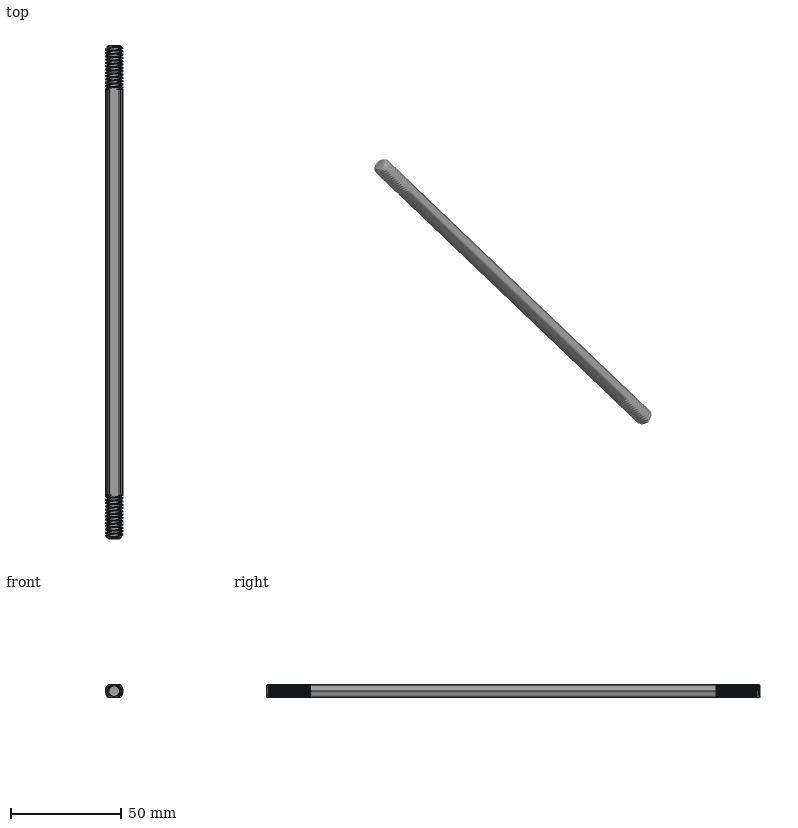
import cadquery as cq
LENGTH = 224.0
MAJOR_DIAMETER = 7.9
FLAT_HEIGHT = 6.04
SHANK_SIDES = 8

THREAD_LENGTH = 20.0
MINOR_DIAMETER = 5.94
PITCH = 1.5
CREST_WIDTH = PITCH / 4
ROOT_WIDTH = PITCH / 4
CHAMFER_LENGTH = 1.5
GROOVE_OVERRUN = 0.1

MAJOR_RADIUS = MAJOR_DIAMETER / 2
MINOR_RADIUS = MINOR_DIAMETER / 2
TIP_RADIUS = MAJOR_RADIUS - CHAMFER_LENGTH
SHANK_LENGTH = LENGTH - 2 * THREAD_LENGTH


def make_shank():
    """Octagonal bar along Y with corners on the X axis, flattened top and bottom."""
    octagon = cq.Workplane("XZ").polygon(SHANK_SIDES, MAJOR_DIAMETER)
    slab = cq.Workplane("XY").box(2 * MAJOR_DIAMETER, LENGTH, FLAT_HEIGHT)
    return octagon.extrude(SHANK_LENGTH / 2, both=True).intersect(slab)


def make_groove():
    """Right-handed helical groove cutter around Z, one pitch longer than the thread at each end."""
    thread_depth = MAJOR_RADIUS - MINOR_RADIUS
    flank_slope = (PITCH - CREST_WIDTH - ROOT_WIDTH) / 2 / thread_depth
    root_half = ROOT_WIDTH / 2
    mouth_half = root_half + flank_slope * (thread_depth + GROOVE_OVERRUN)
    mouth_radius = MAJOR_RADIUS + GROOVE_OVERRUN
    section = [
        (MINOR_RADIUS, -root_half),
        (mouth_radius, -mouth_half),
        (mouth_radius, mouth_half),
        (MINOR_RADIUS, root_half),
    ]
    helix = cq.Workplane(cq.Wire.makeHelix(PITCH, THREAD_LENGTH + 2 * PITCH, MINOR_RADIUS))
    groove = cq.Workplane("XZ").polyline(section).close().sweep(helix, isFrenet=True)
    return groove.translate((0, 0, -PITCH))


def make_blank():
    """Round bar along Z with the lead-in chamfer at its tip."""
    half_outline = [
        (0, 0),
        (MAJOR_RADIUS, 0),
        (MAJOR_RADIUS, THREAD_LENGTH - CHAMFER_LENGTH),
        (TIP_RADIUS, THREAD_LENGTH),
        (0, THREAD_LENGTH),
    ]
    return cq.Workplane("XZ").polyline(half_outline).close().revolve(360, (0, 0, 0), (0, 1, 0))


def make_threaded_end():
    """Threaded end, flattened while it stands along Z, then laid at the +Y end of the shank."""
    thread = make_blank().cut(make_groove(), clean=False)
    slab = cq.Workplane("XY").box(2 * MAJOR_DIAMETER, FLAT_HEIGHT, LENGTH)
    flattened = thread.intersect(slab, clean=False)
    along_y = flattened.rotate((0, 0, 0), (1, 0, 0), -90)
    return along_y.translate((0, SHANK_LENGTH / 2, 0))


threaded_end = make_threaded_end()
opposite_end = threaded_end.rotate((0, 0, 0), (0, 0, 1), 180)
result = make_shank().union(threaded_end, clean=False).union(opposite_end, clean=False)